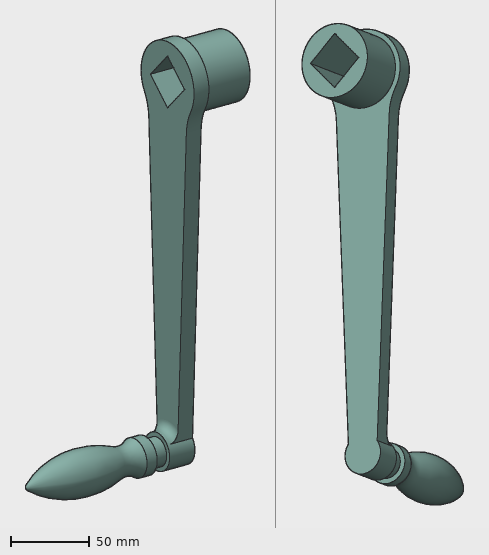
import cadquery as cq
import math


head_radius = 55.0 / 2
arm_thickness = 12.0
arm_top_half_width = 19.5
shoulder_z = 234.8
neck_blend_radius = 36.7
hub_radius = 24.0
hub_length = 36.0
square_side = 25.0

boss_radius = 26.0 / 2
boss_length = 20.5
boss_fillet = 6.0
arm_end_rise = 7.5

grip_radius = 32.0 / 2
shank_radius = 10.0
collar_radius = 26.7 / 2
collar_start = 30.8
collar_end = 39.0
waist_at = 48.7
waist_radius = 20.2 / 2
bulge_start = 55.0
bulge_start_radius = 11.2
bulge_peak = 82.2
tip_arc_end = 125.0
tip_radius = 2.3
grip_end = 126.5

overall_height = 293.5
grip_z = grip_radius
head_z = overall_height - head_radius


def cylinder(radius, z, start, end):
    """Cylinder parallel to Y, spanning start to end along -Y."""
    return cq.Workplane("XZ", origin=(0, -start, z)).circle(radius).extrude(end - start)


def arm_outline(length):
    """Tapered arm from the boss up to the head centre, extruded along -Y."""
    end_z = grip_z + arm_end_rise
    end_half_width = math.sqrt(boss_radius**2 - arm_end_rise**2)
    taper = (arm_top_half_width - end_half_width) / (shoulder_z - end_z)
    head_half_width = end_half_width + taper * (head_z - end_z)
    return (
        cq.Workplane("XZ")
        .moveTo(0, grip_z)
        .lineTo(end_half_width, end_z)
        .lineTo(head_half_width, head_z)
        .lineTo(-head_half_width, head_z)
        .lineTo(-end_half_width, end_z)
        .close()
        .extrude(length)
    )


def make_arm():
    """Head and tapered arm, blended where they meet."""
    arm = arm_outline(arm_thickness).union(cylinder(head_radius, head_z, 0, arm_thickness))
    neck_edges = cq.selectors.BoxSelector(
        (-head_radius, -arm_thickness, shoulder_z), (head_radius, 0, head_z)
    )
    return arm.edges("|Y").edges(neck_edges).fillet(neck_blend_radius)


def revolve_about_grip(profile):
    """Revolve a (radius, -Y distance) profile about the grip axis."""
    return profile.close().revolve(360, (0, 0, 0), (0, 1, 0)).translate((0, 0, grip_z))


def make_boss():
    """Boss with a concave fillet on the arm face, trimmed to the arm width."""
    middle = boss_fillet * (1 - math.sqrt(0.5))
    flare = revolve_about_grip(
        cq.Workplane("XY")
        .moveTo(0, -arm_thickness)
        .lineTo(boss_radius + boss_fillet, -arm_thickness)
        .threePointArc(
            (boss_radius + middle, -arm_thickness - middle),
            (boss_radius, -arm_thickness - boss_fillet),
        )
        .lineTo(0, -arm_thickness - boss_fillet)
    )
    trimmed_flare = flare.intersect(arm_outline(boss_length))
    return cylinder(boss_radius, grip_z, 0, boss_length).union(trimmed_flare)


def make_grip():
    """Shank, collar, concave waist and bulging handle with a rounded tip."""
    tip_height = grip_end - tip_arc_end
    tip_ball_radius = (tip_radius**2 + tip_height**2) / (2 * tip_height)
    return revolve_about_grip(
        cq.Workplane("XY")
        .lineTo(shank_radius, 0)
        .lineTo(shank_radius, -collar_start)
        .lineTo(collar_radius, -collar_start)
        .lineTo(collar_radius, -collar_end)
        .threePointArc((waist_radius, -waist_at), (bulge_start_radius, -bulge_start))
        .threePointArc((grip_radius, -bulge_peak), (tip_radius, -tip_arc_end))
        .radiusArc((0, -grip_end), tip_ball_radius)
    )


hub = cylinder(hub_radius, head_z, -hub_length, 0)
square_hole = (
    cq.Workplane("XZ", origin=(0, hub_length, head_z))
    .transformed(rotate=(0, 0, 45))
    .rect(square_side, square_side)
    .extrude(hub_length + arm_thickness)
)
result = make_arm().union(hub).union(make_boss()).union(make_grip()).cut(square_hole)